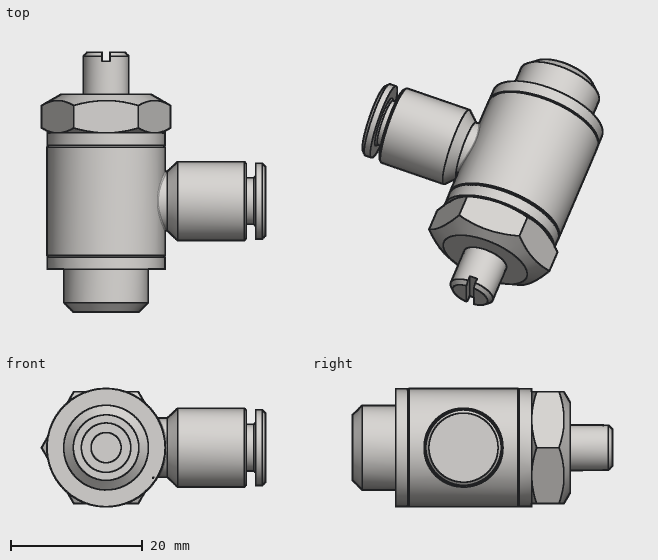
import cadquery as cq
import math

overall_length = 39.5

thread_radius = 6.45
thread_tip_chamfer = 1.45
bore_radius = 3.75
bore_depth = 19.75
seat_radius = 2.3
seat_depth = 23.7

washer_radius = 8.95
body_radius = 9.0
body_edge_chamfer = 0.25
front_washer_start = 6.55
body_start = 8.38
body_end = 25.33
hex_start = 27.22

hex_end = 33.1
hex_across_flats = 17.0
hex_corner_radius = hex_across_flats / math.sqrt(3)
hex_chamfer_angle = math.radians(30)
hex_rear_face_radius = 6.85
hex_front_face_radius = hex_across_flats / 2

screw_radius = 3.48
screw_chamfer = 0.65
slot_width = 1.2
slot_depth = 1.4

branch_station = 16.87
branch_neck_radius = 4.5
branch_root_fillet = 0.2
barrel_radius = 6.0
barrel_cone_start = 9.3
barrel_cone_end = 10.85
barrel_end = 21.3
barrel_chamfer = 0.3
collar_neck_radius = 3.55
collar_cone_start = 22.45
collar_start = 22.7
collar_end = 24.2
collar_radius = 5.75
collar_chamfer = 0.5


def turned_about_y(profile):
    """Solid of revolution from (radius, station) points beginning and ending on the Y axis."""
    return cq.Workplane("XY").polyline(profile).close().revolve(360, (0, 0, 0), (0, 1, 0))


def cylinder_along_y(radius, start, end):
    return turned_about_y([(0, start), (radius, start), (radius, end), (0, end)])


def make_body():
    return turned_about_y([
        (0, 0),
        (thread_radius - thread_tip_chamfer, 0),
        (thread_radius, thread_tip_chamfer),
        (thread_radius, front_washer_start),
        (washer_radius, front_washer_start),
        (washer_radius, body_start),
        (body_radius - body_edge_chamfer, body_start),
        (body_radius, body_start + body_edge_chamfer),
        (body_radius, body_end - body_edge_chamfer),
        (body_radius - body_edge_chamfer, body_end),
        (washer_radius, body_end),
        (washer_radius, hex_start),
        (0, hex_start),
    ])


def make_hex_head():
    """Hexagonal prism with both ends trimmed by 30 degree cones."""
    prism = (
        cq.Workplane("XZ", origin=(0, hex_end, 0))
        .polygon(6, 2 * hex_corner_radius)
        .extrude(hex_end - hex_start)
    )
    slope = math.tan(hex_chamfer_angle)
    envelope_radius = hex_corner_radius + 0.4
    envelope = turned_about_y([
        (0, hex_start),
        (hex_front_face_radius, hex_start),
        (envelope_radius, hex_start + (envelope_radius - hex_front_face_radius) * slope),
        (envelope_radius, hex_end - (envelope_radius - hex_rear_face_radius) * slope),
        (hex_rear_face_radius, hex_end),
        (0, hex_end),
    ])
    return prism.intersect(envelope)


def make_screw():
    screw = cylinder_along_y(screw_radius, hex_end, overall_length)
    screw = screw.faces(">Y").chamfer(screw_chamfer)
    slot = cq.Workplane("XY").box(slot_width, 2 * slot_depth, 2 * screw_radius)
    return screw.cut(slot.translate((0, overall_length, 0)))


def make_branch():
    """Push-in connector: neck, coned barrel and release collar."""
    profile = [
        (0, 0),
        (0, branch_neck_radius),
        (barrel_cone_start, branch_neck_radius),
        (barrel_cone_end, barrel_radius),
        (barrel_end - barrel_chamfer, barrel_radius),
        (barrel_end, barrel_radius - barrel_chamfer),
        (barrel_end, collar_neck_radius),
        (collar_cone_start, collar_neck_radius),
        (collar_start, collar_neck_radius + collar_start - collar_cone_start),
        (collar_start, collar_radius),
        (collar_end - collar_chamfer, collar_radius),
        (collar_end, collar_radius - collar_chamfer),
        (collar_end, 0),
    ]
    branch = cq.Workplane("XY").polyline(profile).close().revolve(360, (0, 0, 0), (1, 0, 0))
    return branch.translate((0, branch_station, 0))


def make_body_with_branch():
    """Body joined to the branch, with a fillet along the curve where the neck meets the body."""
    joined = make_body().union(make_branch())
    tolerance = 0.2
    joint_inner_x = math.sqrt(body_radius**2 - branch_neck_radius**2)
    joint_edges = cq.selectors.BoxSelector(
        (joint_inner_x - tolerance, branch_station - branch_neck_radius - tolerance, -body_radius),
        (body_radius + tolerance, branch_station + branch_neck_radius + tolerance, body_radius),
        boundingbox=True,
    )
    return joined.edges(joint_edges).fillet(branch_root_fillet)


solid_part = make_body_with_branch().union(make_hex_head()).union(make_screw())
bore = cylinder_along_y(bore_radius, 0, bore_depth)
seat_hole = cylinder_along_y(seat_radius, 0, seat_depth)

result = solid_part.cut(bore).cut(seat_hole)